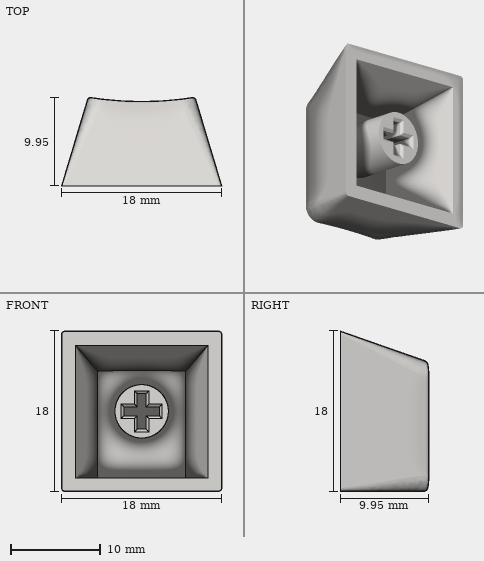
import cadquery as cq

base_size = 18.0
top_width = 12.0
top_depth = 14.5
cap_height = 10.0
wall = 1.5

dish_depth = 0.5
dish_floor = cap_height - dish_depth
dish_radius = ((top_width / 2) ** 2 + dish_depth**2) / (2 * dish_depth)
dish_stock = 1.0

corner_radius_base = 0.4
corner_radius_top = 1.8
rim_radius = 0.4

stem_diameter = 6.0
stem_face = 1.0
cross_length = 4.0
cross_width = 1.0
cross_lead_in = 0.3


def plane_at(height):
    """XZ plane at a height above the open face; local Y points along -Z."""
    return cq.Plane(origin=(0, height, 0), xDir=(1, 0, 0), normal=(0, 1, 0))


def tapered_block():
    """Blank with three leaning sides and an upright -Z side, taller than the cap by the dish stock."""
    stretch = 1 + dish_stock / cap_height
    blank_width = base_size - stretch * (base_size - top_width)
    blank_depth = base_size - stretch * (base_size - top_depth)
    return (
        cq.Workplane(plane_at(0))
        .rect(base_size, base_size)
        .workplane(offset=cap_height + dish_stock)
        .center(0, (base_size - blank_depth) / 2)
        .rect(blank_width, blank_depth)
        .loft(ruled=True)
    )


def dish_cutter():
    """Cylinder along Z whose lowest line is the dish floor."""
    return (
        cq.Workplane("XY")
        .center(0, dish_floor + dish_radius)
        .circle(dish_radius)
        .extrude(base_size, both=True)
    )


def corner_edges(block):
    """The four edges that run from the open face up to the dished top."""
    return [edge for edge in block.edges().vals() if edge.BoundingBox().ylen > cap_height / 2]


def round_corners(block):
    """Round the corner edges with a radius that grows from the open face to the top."""
    fillet = cq.occ_impl.shapes.BRepFilletAPI_MakeFillet(block.val().wrapped)
    for edge in corner_edges(block):
        if edge.startPoint().y < edge.endPoint().y:
            fillet.Add(corner_radius_base, corner_radius_top, edge.wrapped)
        else:
            fillet.Add(corner_radius_top, corner_radius_base, edge.wrapped)
    return cq.Workplane(cq.Shape.cast(fillet.Shape()))


def cavity(block):
    """Sharp-cornered space left inside a wall of even thickness, open at the base."""
    shell = block.faces("<Y").shell(-wall, kind="intersection")
    return block.cut(shell)


def stem_post():
    """Round post from its free end up into the middle of the top wall."""
    post_end = dish_floor - wall / 2
    return cq.Workplane(plane_at(stem_face)).circle(stem_diameter / 2).extrude(post_end - stem_face)


def cross_bar(length, width):
    """One bar of the cross socket, with a 45 degree lead-in at the stem's free end."""
    bar = cq.Workplane(plane_at(stem_face)).rect(length, width).extrude(cap_height - stem_face)
    lead_in = (
        cq.Workplane(plane_at(stem_face))
        .rect(length + 2 * cross_lead_in, width + 2 * cross_lead_in)
        .workplane(offset=cross_lead_in)
        .rect(length, width)
        .loft(ruled=True)
    )
    return bar.union(lead_in)


def cross_socket(hollow):
    """Two bars at right angles, ending on the curved underside of the top wall."""
    cross = cross_bar(cross_length, cross_width).union(cross_bar(cross_width, cross_length))
    return cross.intersect(hollow)


block = tapered_block().cut(dish_cutter())
hollow = cavity(block)
outside = round_corners(block).faces(">Y").edges().fillet(rim_radius)
cap = outside.cut(hollow).union(stem_post())
result = cq.Workplane(cap.cut(cross_socket(hollow)).solids().val())